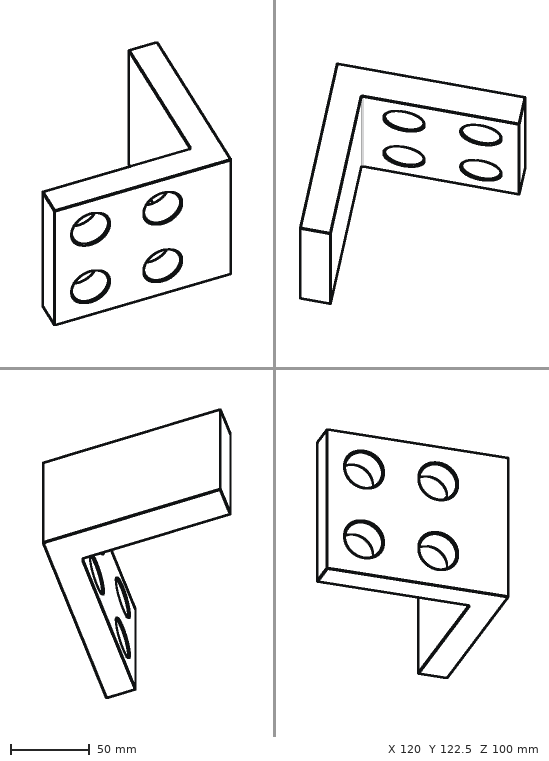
import cadquery as cq

length_x = 120.0
length_y = 122.5
height = 100.0
thickness = 20.0

edge_chamfer = 0.5
inner_corner_radius = 1.0

hole_diameter = 25.0
hole_chamfer = 1.0
hole_spacing = height / 2
hole_edge_distance = hole_spacing / 2

inner_x = length_x - thickness
inner_y = length_y - thickness


def make_angle():
    """L-shaped body with its legs meeting at the +X, +Y corner."""
    body = (
        cq.Workplane("XY")
        .moveTo(0, length_y)
        .lineTo(length_x, length_y)
        .lineTo(length_x, 0)
        .lineTo(inner_x, 0)
        .lineTo(inner_x, inner_y)
        .lineTo(0, inner_y)
        .close()
        .extrude(height)
    )
    inner_corner = cq.selectors.NearestToPointSelector((inner_x, inner_y, height / 2))
    vertical_edges = cq.selectors.ParallelDirSelector(cq.Vector(0, 0, 1))
    outer_corners = cq.selectors.SubtractSelector(vertical_edges, inner_corner)
    body = body.edges(outer_corners).chamfer(edge_chamfer)
    body = body.edges(inner_corner).fillet(inner_corner_radius)
    return body.faces("<Z or >Z").edges().chamfer(edge_chamfer)


def make_hole_cutter(y, z):
    """Through hole along X, with a chamfer at both mouths."""
    radius = hole_diameter / 2
    mouth_radius = radius + hole_chamfer
    return (
        cq.Workplane("XY")
        .moveTo(inner_x, 0)
        .lineTo(inner_x, mouth_radius)
        .lineTo(inner_x + hole_chamfer, radius)
        .lineTo(length_x - hole_chamfer, radius)
        .lineTo(length_x, mouth_radius)
        .lineTo(length_x, 0)
        .close()
        .revolve(360, (0, 0, 0), (1, 0, 0))
        .translate((0, y, z))
    )


result = make_angle()
for row in range(2):
    for column in range(2):
        hole_y = hole_edge_distance + column * hole_spacing
        hole_z = hole_edge_distance + row * hole_spacing
        result = result.cut(make_hole_cutter(hole_y, hole_z))